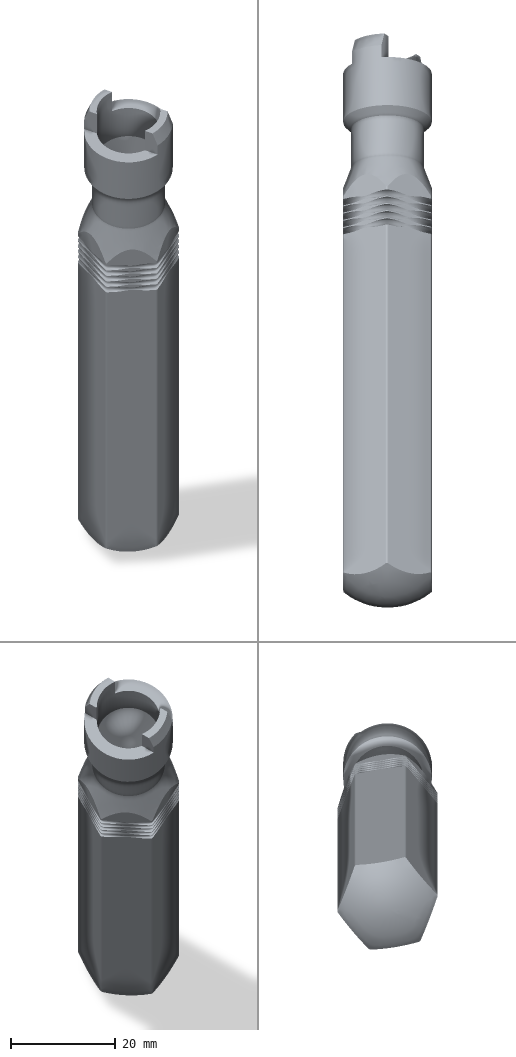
import cadquery as cq
import math

total_length = 115.0
across_flats = 17.0
hex_edge_radius = 0.5
dome_radius = 13.5

head_radius = across_flats / 2
neck_radius = 7.0
head_bottom_depth = 15.3
neck_top_depth = 16.8
neck_bottom_depth = 25.0
hex_corner_depth = 32.9

prong_width = 6.6
prong_height = 5.3
prong_bevel_width = 1.0
prong_bevel_height = 2.8

bore_radius = 6.1
bore_depth = 13.0
drill_point_angle = 118.0

groove_count = 5
groove_pitch = 1.5
groove_radius = 0.65
groove_root_radius = 8.43
first_groove_depth = 33.95

corner_radius = across_flats / math.sqrt(3)
cutter_reach = 2 * across_flats


def level(depth):
    """Height of a plane at the given depth below the prong tops."""
    return total_length - depth


def revolve_about_axis(profile):
    """Turn a profile drawn in the XZ plane around the Z axis."""
    return profile.revolve(360, (0, 0, 0), (0, 1, 0))


def make_hex_bar():
    """Hexagonal bar with two flats facing -X and +X and rounded long edges."""
    bar = cq.Workplane("XY").polygon(6, 2 * corner_radius).extrude(total_length)
    bar = bar.rotate((0, 0, 0), (0, 0, 1), 30)
    return bar.edges("|Z").fillet(hex_edge_radius)


def make_turned_envelope():
    """Solid of revolution that rounds the lower end and shapes neck and head."""
    dome_edge_height = dome_radius - math.sqrt(dome_radius**2 - corner_radius**2)
    half_edge_angle = math.asin(corner_radius / dome_radius) / 2
    dome_middle = (
        dome_radius * math.sin(half_edge_angle),
        dome_radius * (1 - math.cos(half_edge_angle)),
    )
    profile = (
        cq.Workplane("XZ")
        .moveTo(0, 0)
        .threePointArc(dome_middle, (corner_radius, dome_edge_height))
        .lineTo(corner_radius, level(hex_corner_depth))
        .lineTo(neck_radius, level(neck_bottom_depth))
        .lineTo(neck_radius, level(neck_top_depth))
        .lineTo(head_radius, level(head_bottom_depth))
        .lineTo(head_radius, level(prong_bevel_height))
        .lineTo(head_radius - prong_bevel_width, total_length)
        .lineTo(0, total_length)
        .close()
    )
    return revolve_about_axis(profile)


def make_bore():
    """Blind bore, open at the top, with a conical bottom."""
    point_height = bore_radius / math.tan(math.radians(drill_point_angle / 2))
    profile = (
        cq.Workplane("XZ")
        .moveTo(0, total_length)
        .lineTo(bore_radius, total_length)
        .lineTo(bore_radius, level(bore_depth))
        .lineTo(0, level(bore_depth) - point_height)
        .close()
    )
    return revolve_about_axis(profile)


def make_prong_gap(side):
    """Block removed beside the prongs; side is -1 for -Y and +1 for +Y."""
    return (
        cq.Workplane("XY", origin=(0, 0, level(prong_height)))
        .center(0, side * (prong_width + cutter_reach) / 2)
        .rect(cutter_reach, cutter_reach)
        .extrude(prong_height)
    )


def make_groove(center_height):
    """Ring with a half-round root and straight sides, centred at a height."""
    arc_center = groove_root_radius + groove_radius
    bottom = center_height - groove_radius
    top = center_height + groove_radius
    profile = (
        cq.Workplane("XZ")
        .moveTo(cutter_reach, bottom)
        .lineTo(arc_center, bottom)
        .threePointArc((groove_root_radius, center_height), (arc_center, top))
        .lineTo(cutter_reach, top)
        .close()
    )
    return revolve_about_axis(profile)


result = make_hex_bar().intersect(make_turned_envelope()).cut(make_bore())

for gap_side in (-1, 1):
    result = result.cut(make_prong_gap(gap_side))

for index in range(groove_count):
    groove_height = level(first_groove_depth + index * groove_pitch)
    result = result.cut(make_groove(groove_height))